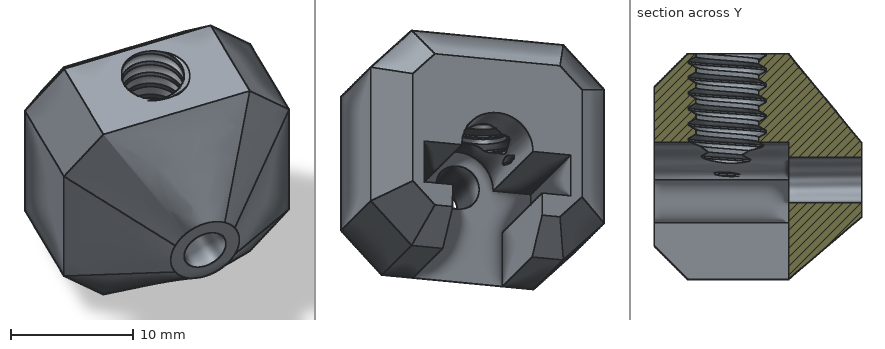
import cadquery as cq
import math

BLOCK_LENGTH = 11.0
BLOCK_WIDTH = 20.0
BLOCK_HEIGHT = 18.5
CORNER_CUT = 3.5
BACK_CHAMFER = 2.75

TOTAL_LENGTH = 17.0
NOSE_LENGTH = TOTAL_LENGTH - BLOCK_LENGTH
TIP_DIAMETER = 6.1

SLOT_LENGTH = BLOCK_LENGTH
STEM_WIDTH = 7.66
WING_WIDTH = 12.54
LIP_HEIGHT = 4.65
WING_HEIGHT = 3.5
ARCH_DIAMETER = 6.1

AXIS_HEIGHT = LIP_HEIGHT + WING_HEIGHT
BORE_DIAMETER = 3.7

SCREW_X = 6.0
THREAD_MINOR_DIAMETER = 5.12
THREAD_MAJOR_DIAMETER = 6.35
INCH = 25.4
THREADS_PER_INCH = 20
THREAD_PITCH = INCH / THREADS_PER_INCH
THREAD_FLANK_ANGLE = 30.0
THREAD_ROOT_WIDTH = THREAD_PITCH / 8
THREAD_TOP_ANGLE = 17.0
THREAD_OVERLAP = 0.1


def octagon(x):
    """Rectangle with cut corners on the YZ plane at the given X."""
    half_width = BLOCK_WIDTH / 2
    flat_half_width = half_width - CORNER_CUT
    flat_top = BLOCK_HEIGHT - CORNER_CUT
    return cq.Workplane("YZ", origin=(x, 0, 0)).polyline([
        (half_width, CORNER_CUT),
        (half_width, flat_top),
        (flat_half_width, BLOCK_HEIGHT),
        (-flat_half_width, BLOCK_HEIGHT),
        (-half_width, flat_top),
        (-half_width, CORNER_CUT),
        (-flat_half_width, 0),
        (flat_half_width, 0),
    ]).close()


def make_block():
    return octagon(0).extrude(BLOCK_LENGTH).faces("<X").chamfer(BACK_CHAMFER)


def make_nose():
    base = octagon(BLOCK_LENGTH)
    tip = base.workplane(offset=NOSE_LENGTH).center(0, AXIS_HEIGHT).circle(TIP_DIAMETER / 2)
    return tip.loft(ruled=True, combine=True)


def slot_bar(width, bottom, top):
    """Rectangular length of the slot, centred on Y."""
    bar = cq.Workplane("XY").box(SLOT_LENGTH, width, top - bottom, centered=(False, True, False))
    return bar.translate((0, 0, bottom))


def along_axis(diameter, length):
    """Cylinder on the lengthwise axis, starting at the back face."""
    plane = cq.Workplane("YZ", origin=(0, 0, AXIS_HEIGHT))
    return plane.circle(diameter / 2).extrude(length)


def make_slot():
    stem = slot_bar(STEM_WIDTH, 0, AXIS_HEIGHT)
    wings = slot_bar(WING_WIDTH, LIP_HEIGHT, AXIS_HEIGHT)
    return stem.union(wings).union(along_axis(ARCH_DIAMETER, SLOT_LENGTH))


def make_thread_groove():
    """Right-hand helical groove, from inside the slot to past the top face."""
    inner_radius = THREAD_MINOR_DIAMETER / 2 - THREAD_OVERLAP
    outer_radius = THREAD_MAJOR_DIAMETER / 2
    flank_rise = (outer_radius - inner_radius) * math.tan(math.radians(THREAD_FLANK_ANGLE))
    root_half = THREAD_ROOT_WIDTH / 2
    mouth_half = root_half + flank_rise

    turns_below_top = math.ceil((BLOCK_HEIGHT - AXIS_HEIGHT) / THREAD_PITCH)
    start = BLOCK_HEIGHT - turns_below_top * THREAD_PITCH
    height = (turns_below_top + 1) * THREAD_PITCH

    path = cq.Wire.makeHelix(THREAD_PITCH, height, inner_radius)
    profile = cq.Workplane("XZ").polyline([
        (inner_radius, -mouth_half),
        (outer_radius, -root_half),
        (outer_radius, root_half),
        (inner_radius, mouth_half),
    ]).close()
    groove = profile.sweep(cq.Workplane(path), isFrenet=True)
    groove = groove.rotate((0, 0, 0), (0, 0, 1), THREAD_TOP_ANGLE)
    return groove.translate((SCREW_X, 0, start))


def make_screw_hole():
    plane = cq.Workplane("XY", origin=(SCREW_X, 0, AXIS_HEIGHT))
    return plane.circle(THREAD_MINOR_DIAMETER / 2).extrude(BLOCK_HEIGHT - AXIS_HEIGHT)


body = make_block().cut(make_thread_groove())
body = body.cut(make_slot())
body = body.cut(make_screw_hole())
body = body.union(make_nose())
result = body.cut(along_axis(BORE_DIAMETER, TOTAL_LENGTH))